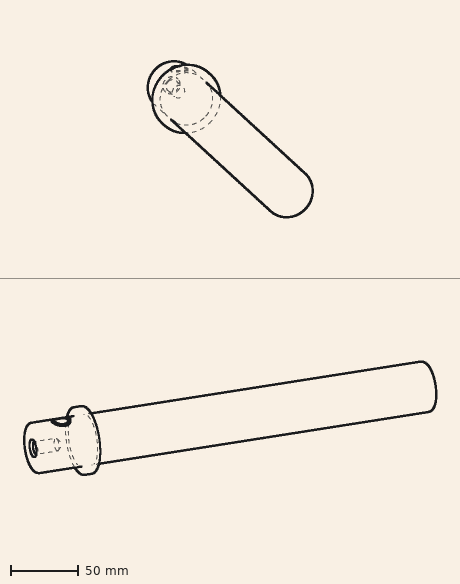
import cadquery as cq

length = 317.0
shaft_radius = 19.0
nose_fillet = 2.2
tail_fillet = 3.0

flange_radius = 51.0 / 2
flange_start = 36.5
flange_width = 7.3
flange_edge_fillet = 0.8
flange_root_fillet = 0.8

bore_radius = 4.8
countersink_radius = 6.5
countersink_depth = countersink_radius - bore_radius
bore_depth = 19.0

ring_x = 22.5
ring_outer_radius = 7.0
ring_inner_radius = 5.7
ring_depth = 0.5


def make_shaft():
    """Revolve the shaft outline, rounded at both ends, about the X axis."""
    nose_radius = shaft_radius - nose_fillet
    return (
        cq.Workplane("XY")
        .lineTo(0, nose_radius)
        .radiusArc((nose_fillet, shaft_radius), nose_fillet)
        .lineTo(length - tail_fillet, shaft_radius)
        .radiusArc((length, shaft_radius - tail_fillet), tail_fillet)
        .lineTo(length, 0)
        .close()
        .revolve(360, (0, 0, 0), (1, 0, 0))
    )


def make_flange():
    """Flange ring with rounded rims and a concave fillet at each root."""
    end = flange_start + flange_width
    rim = flange_radius - flange_edge_fillet
    root = shaft_radius + flange_root_fillet
    return (
        cq.Workplane("XY")
        .moveTo(flange_start - flange_root_fillet, 0)
        .lineTo(flange_start - flange_root_fillet, shaft_radius)
        .radiusArc((flange_start, root), -flange_root_fillet)
        .lineTo(flange_start, rim)
        .radiusArc((flange_start + flange_edge_fillet, flange_radius), flange_edge_fillet)
        .lineTo(end - flange_edge_fillet, flange_radius)
        .radiusArc((end, rim), flange_edge_fillet)
        .lineTo(end, root)
        .radiusArc((end + flange_root_fillet, shaft_radius), -flange_root_fillet)
        .lineTo(end + flange_root_fillet, 0)
        .close()
        .revolve(360, (0, 0, 0), (1, 0, 0))
    )


def make_bore():
    """Countersunk hole with a conical drill point."""
    return (
        cq.Workplane("XY")
        .lineTo(0, countersink_radius)
        .lineTo(countersink_depth, bore_radius)
        .lineTo(bore_depth, bore_radius)
        .lineTo(bore_depth + bore_radius, 0)
        .close()
        .revolve(360, (0, 0, 0), (1, 0, 0))
    )


def make_ring_groove():
    """Ring-shaped cutter whose floor follows the round shaft surface."""
    ring = (
        cq.Workplane("XY")
        .center(ring_x, 0)
        .circle(ring_outer_radius)
        .circle(ring_inner_radius)
        .extrude(shaft_radius)
    )
    core = cq.Workplane("YZ").circle(shaft_radius - ring_depth).extrude(length)
    return ring.cut(core)


body = make_shaft().union(make_flange())
result = body.cut(make_bore()).cut(make_ring_groove())